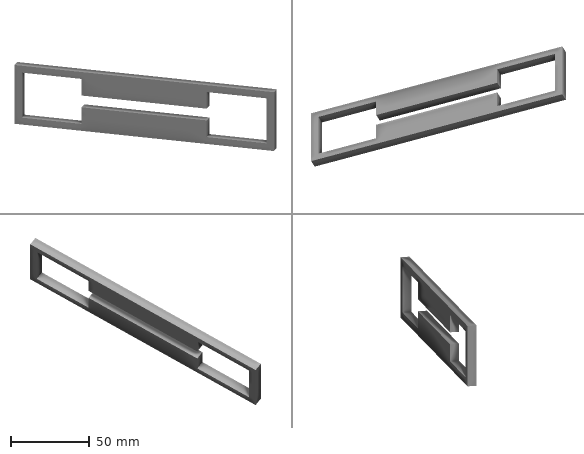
import cadquery as cq

length = 174.0
thickness = 6.0
height = 40.0

end_wall = 5.0
window_length = 40.0
window_height = 30.6
slot_height = 8.0

window_offset = length / 2 - end_wall - window_length / 2
slot_length = length - 2 * end_wall

plate = cq.Workplane("XY").box(length, thickness, height)

windows = (
    cq.Workplane("XY")
    .pushPoints([(-window_offset, 0), (window_offset, 0)])
    .box(window_length, thickness, window_height)
)

slot = cq.Workplane("XY").box(slot_length, thickness, slot_height)

result = plate.cut(windows).cut(slot)